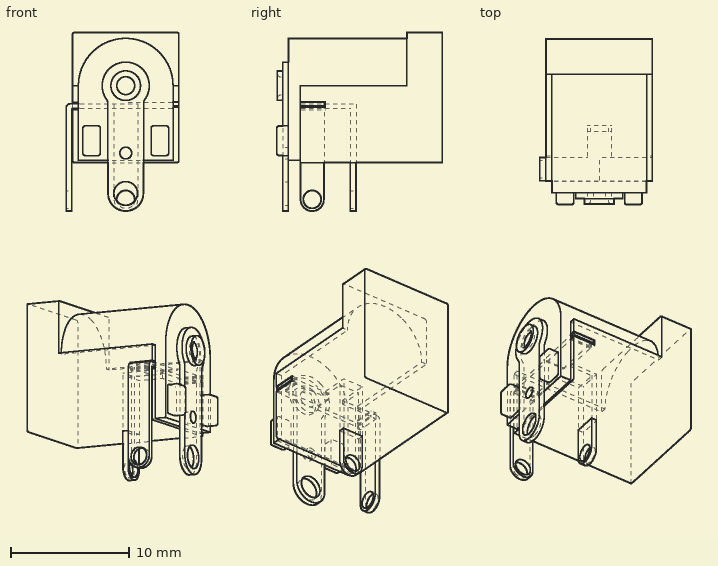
import cadquery as cq
import math


barrel_radius = 4.0
housing_width = 9.0
housing_top = housing_width / 2
housing_bottom = -6.51
flange_depth = 3.0
wing_depth = 12.0
barrel_depth = 13.0
corner_radius = 0.2
barrel_bottom = housing_bottom + corner_radius

lug_width = 1.5
lug_height = 2.5
lug_length = 1.0
lug_offset = 2.88
lug_top = -3.4
lug_round = 0.21

leg_bottom = housing_top - 15.1
metal = 0.5

ring_radius = 2.0
stem_width = 3.0
stem_eye_diameter = 2.0
neck_fillet = 0.53
pilot_hole_diameter = 1.0
pilot_hole_z = -5.7
rivet_diameter = 2.5
rivet_length = 0.45
rivet_bore_diameter = 1.51
rivet_mouth_round = 0.3

leg_width = 2.0
leg_eye_diameter = 1.5
side_leg_outer = -5.05
side_leg_inner = side_leg_outer + metal
strip_top = -1.51
strip_thickness = 0.38
strip_bottom = strip_top - strip_thickness
strip_setback = 0.02
strip_rear = wing_depth - strip_setback
strip_front = strip_rear - leg_width
bend_outer_radius = 0.4
bend_inner_radius = 0.18
middle_leg_front = 7.3
tongue_top = -1.4
tongue_thickness = 0.3

slot_end_gap = 0.12
slot_front = strip_front - slot_end_gap
left_slot_top = -1.4
left_slot_height = 0.63
right_slot_top = -1.35
right_slot_height = 0.5


def block(x_min, x_max, front, rear, z_min, z_max):
    """Box between two X values, two depths behind the mating face and two Z values."""
    return (
        cq.Workplane("XY")
        .box(x_max - x_min, rear - front, z_max - z_min, centered=False)
        .translate((x_min, -rear, z_min))
    )


def xz_plane(depth):
    """Workplane facing -Y at a depth behind the mating face."""
    return cq.Workplane("XZ", origin=(0, -depth, 0))


def leg(plane, width, top, eye_diameter):
    """Round-ended leg hanging from `top` to the common leg level, with an eye in its end."""
    end_radius = width / 2
    end_centre = leg_bottom + end_radius
    blade = (
        plane.moveTo(-end_radius, top)
        .lineTo(-end_radius, end_centre)
        .threePointArc((0, leg_bottom), (end_radius, end_centre))
        .lineTo(end_radius, top)
        .close()
        .extrude(metal)
    )
    eye = plane.center(0, end_centre).circle(eye_diameter / 2).extrude(metal)
    return blade.cut(eye)


def make_lug(side):
    centre_z = lug_top - lug_height / 2
    return (
        xz_plane(barrel_depth)
        .center(side * lug_offset, centre_z)
        .rect(lug_width, lug_height)
        .extrude(lug_length)
        .edges("|Y or <Y")
        .fillet(lug_round)
    )


def make_housing(contact):
    half_width = housing_width / 2
    flange = block(-half_width, half_width, 0, flange_depth, housing_bottom, housing_top)
    flange = flange.edges("|Y").fillet(corner_radius)
    wings = block(-half_width, half_width, 0, wing_depth, housing_bottom, 0)
    wings = wings.edges("|Y and <Z").fillet(corner_radius)
    barrel = (
        xz_plane(0)
        .moveTo(-barrel_radius, barrel_bottom)
        .lineTo(-barrel_radius, 0)
        .threePointArc((0, barrel_radius), (barrel_radius, 0))
        .lineTo(barrel_radius, barrel_bottom)
        .close()
        .extrude(barrel_depth)
    )
    housing = flange.union(wings).union(barrel)
    for side in (-1, 1):
        housing = housing.union(make_lug(side))

    left_slot = block(
        -half_width, -barrel_radius, slot_front, wing_depth,
        left_slot_top - left_slot_height, left_slot_top,
    )
    right_slot = block(
        barrel_radius, half_width, slot_front, wing_depth,
        right_slot_top - right_slot_height, right_slot_top,
    )
    return housing.cut(left_slot).cut(right_slot).cut(contact)


def make_rear_terminal():
    plate_plane = xz_plane(barrel_depth)
    stem = leg(plate_plane, stem_width, 0, stem_eye_diameter)
    ring = plate_plane.circle(ring_radius).extrude(metal)
    plate = stem.union(ring)
    pilot_hole = plate_plane.center(0, pilot_hole_z).circle(pilot_hole_diameter / 2).extrude(metal)
    neck_z = -math.sqrt(ring_radius**2 - (stem_width / 2) ** 2)
    for side in (-1, 1):
        corner = (side * stem_width / 2, -barrel_depth - metal / 2, neck_z)
        plate = plate.edges(cq.selectors.NearestToPointSelector(corner)).fillet(neck_fillet)
    rivet_plane = xz_plane(barrel_depth + metal)
    rivet = (
        rivet_plane.circle(rivet_diameter / 2)
        .circle(rivet_bore_diameter / 2)
        .extrude(rivet_length)
        .faces("<Y")
        .edges(cq.selectors.RadiusNthSelector(0))
        .fillet(rivet_mouth_round)
    )
    return plate.cut(pilot_hole).union(rivet)


def make_contact():
    bent_strip = (
        xz_plane(strip_front)
        .moveTo(barrel_radius, strip_top)
        .lineTo(side_leg_outer + bend_outer_radius, strip_top)
        .radiusArc((side_leg_outer, strip_top - bend_outer_radius), -bend_outer_radius)
        .lineTo(side_leg_outer, housing_bottom)
        .lineTo(side_leg_inner, housing_bottom)
        .lineTo(side_leg_inner, strip_bottom - bend_inner_radius)
        .radiusArc((side_leg_inner + bend_inner_radius, strip_bottom), bend_inner_radius)
        .lineTo(barrel_radius, strip_bottom)
        .close()
        .extrude(leg_width)
    )
    side_leg_y = -(strip_front + strip_rear) / 2
    side_leg_plane = cq.Workplane("YZ", origin=(side_leg_outer, side_leg_y, 0))
    side_leg = leg(side_leg_plane, leg_width, housing_bottom, leg_eye_diameter)

    tongue = block(
        0, housing_width / 2, strip_front, strip_rear,
        tongue_top - tongue_thickness, tongue_top,
    )

    half_leg = leg_width / 2
    arm = block(-half_leg, half_leg, middle_leg_front, strip_rear, strip_bottom, strip_top)
    middle_leg = leg(xz_plane(middle_leg_front), leg_width, strip_top, leg_eye_diameter)
    return bent_strip.union(side_leg).union(tongue).union(arm).union(middle_leg)


contact = make_contact()
housing = make_housing(contact)
rear_terminal = make_rear_terminal()

bodies = [housing, rear_terminal, contact]
result = cq.Compound.makeCompound([body.solids().val() for body in bodies])